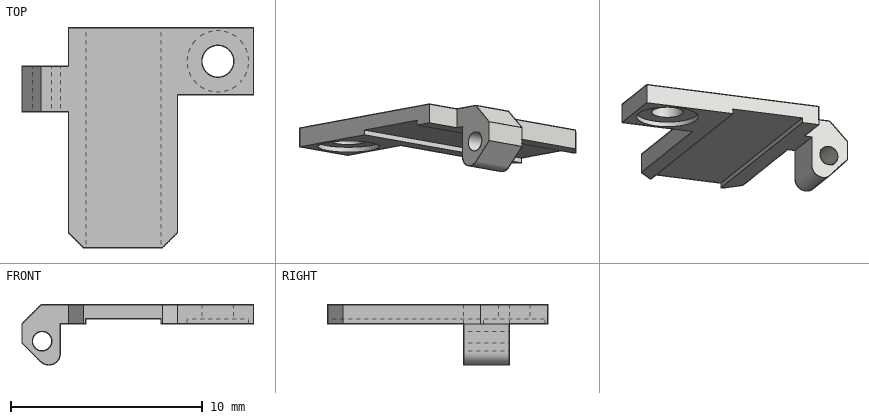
import cadquery as cq

length = 12.07
depth = 11.48
thickness = 1.0

plate_left = 2.41
plate_width = 5.7
plate_right = plate_left + plate_width
corner_chamfer = 0.8
arm_width = 3.5
arm_hole_diameter = 1.65
arm_hole_end_distance = 1.86
counterbore_diameter = 3.2
counterbore_depth = 0.25

channel_width = 3.91
channel_depth = 0.25
channel_left = 3.33

lug_back_setback = 2.0
lug_width = 2.39
lug_thickness = 2 * thickness
lug_tip_radius = 0.6
pivot_diameter = 1.0
pivot_x = 1.05
pivot_z = -1.91


def make_plate():
    """L-shaped plate with two chamfered front corners and a hole counterbored from below."""
    outline = [
        (plate_left, depth),
        (length, depth),
        (length, depth - arm_width),
        (plate_right, depth - arm_width),
        (plate_right, corner_chamfer),
        (plate_right - corner_chamfer, 0),
        (plate_left + corner_chamfer, 0),
        (plate_left, corner_chamfer),
    ]
    plate = cq.Workplane("XY").polyline(outline).close().extrude(-thickness)
    hole_x = length - arm_hole_end_distance
    hole_y = depth - arm_width / 2
    hole_center = cq.Workplane("XY", origin=(hole_x, hole_y, -thickness))
    arm_hole = hole_center.circle(arm_hole_diameter / 2).extrude(thickness)
    counterbore = hole_center.circle(counterbore_diameter / 2).extrude(counterbore_depth)
    return plate.cut(arm_hole).cut(counterbore)


def make_channel():
    """Cutter for the underside channel, open at both ends."""
    return cq.Workplane("XY").box(
        channel_width, depth, channel_depth, centered=False
    ).translate((channel_left, 0, -thickness))


def make_lug():
    """Hook-shaped lug with 45 degree faces, a rounded tip and a pivot hole."""
    lower_bend_z = -2 * thickness
    sharp_tip_z = lower_bend_z - lug_thickness
    profile = [
        (plate_left, 0),
        (thickness, 0),
        (0, -thickness),
        (0, lower_bend_z),
        (lug_thickness, sharp_tip_z),
        (lug_thickness, -thickness),
        (plate_left, -thickness),
    ]
    back_plane = cq.Workplane("XZ", origin=(0, depth - lug_back_setback, 0))
    lug = back_plane.polyline(profile).close().extrude(lug_width)
    lug = lug.edges("|Y").edges("<Z").fillet(lug_tip_radius)
    pivot_hole = (
        back_plane.center(pivot_x, pivot_z).circle(pivot_diameter / 2).extrude(lug_width)
    )
    return lug.cut(pivot_hole)


result = make_plate().cut(make_channel()).union(make_lug())